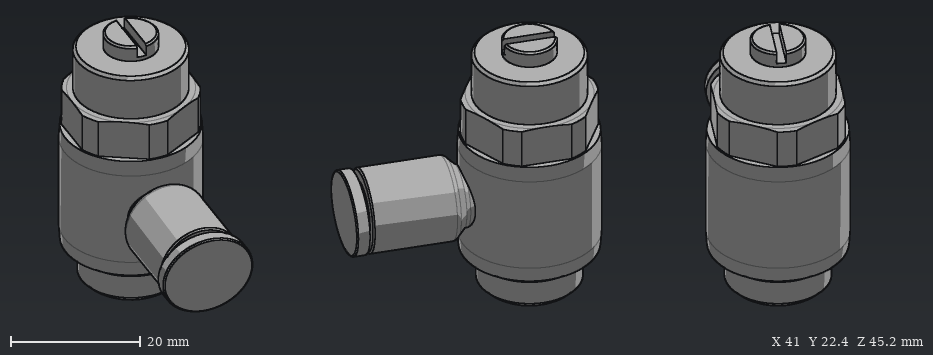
import cadquery as cq
import math

BODY_RADIUS = 11.2
BODY_END_RADIUS = 11.05
BODY_BOTTOM = 7.5
BODY_TOP = 28.48
BODY_TAPER_LENGTH = 2.55

FOOT_RADIUS = 8.3
FOOT_BEVEL_TOP = 5.5
FOOT_BEVEL_BOTTOM = 1.6
FOOT_BEVEL = 1.0
UNDERCUT_RADIUS = 7.3
UNDERCUT_BOTTOM = FOOT_BEVEL_TOP + FOOT_RADIUS - UNDERCUT_RADIUS
UNDERCUT_TOP = 7.0
UNDERCUT_TOP_FLARE = 0.25
LIP_RADIUS = 6.65
LIP_END_RADIUS = 6.5
LIP_HEIGHT = FOOT_BEVEL_BOTTOM - FOOT_BEVEL

HEX_ACROSS_FLATS = 20.0
HEX_CORNER_RADIUS = 10.75
HEX_TOP = 35.05
HEX_CHAMFER_HEIGHT = 0.23

HEAD_RADIUS = 9.0
HEAD_TOP = 42.6
HEAD_CHAMFER = 0.5

SCREW_RADIUS = 4.3
SCREW_TOP = 45.2
SCREW_CHAMFER = 0.3
SLOT_WIDTH = 1.5
SLOT_DEPTH = 1.95

BRANCH_HEIGHT = (BODY_BOTTOM + BODY_TOP) / 2
NECK_RADIUS = 4.95
SLEEVE_RADIUS = 6.8
SHOULDER_ANGLE = math.radians(45)
SHOULDER_START = 11.25
SHOULDER_END = SHOULDER_START + SLEEVE_RADIUS - NECK_RADIUS
SHOULDER_BLEND = 1.0
SLEEVE_END = 26.95
SLEEVE_CHAMFER = 0.25
STEM_RADIUS = 4.85
COLLAR_START = 27.7
COLLAR_END = 29.8
COLLAR_WIDTH = 15.15
COLLAR_HEIGHT = 13.0
COLLAR_CHAMFER = 0.23


def cylinder(radius, bottom, top):
    return cq.Workplane("XY").workplane(offset=bottom).circle(radius).extrude(top - bottom)


def foot_and_body():
    profile = [
        (0, 0),
        (LIP_END_RADIUS, 0),
        (LIP_RADIUS, LIP_HEIGHT),
        (FOOT_RADIUS - FOOT_BEVEL, LIP_HEIGHT),
        (FOOT_RADIUS, FOOT_BEVEL_BOTTOM),
        (FOOT_RADIUS, FOOT_BEVEL_TOP),
        (UNDERCUT_RADIUS, UNDERCUT_BOTTOM),
        (UNDERCUT_RADIUS, UNDERCUT_TOP),
        (UNDERCUT_RADIUS + UNDERCUT_TOP_FLARE, BODY_BOTTOM),
        (BODY_END_RADIUS, BODY_BOTTOM),
        (BODY_RADIUS, BODY_BOTTOM + BODY_TAPER_LENGTH),
        (BODY_RADIUS, BODY_TOP - BODY_TAPER_LENGTH),
        (BODY_END_RADIUS, BODY_TOP),
        (0, BODY_TOP),
    ]
    return cq.Workplane("XZ").polyline(profile).close().revolve(360, (0, 0), (0, 1))


def hexagon():
    across_corners = HEX_ACROSS_FLATS / math.cos(math.pi / 6)
    prism = (
        cq.Workplane("XY")
        .workplane(offset=BODY_TOP)
        .polygon(6, across_corners)
        .extrude(HEX_TOP - BODY_TOP)
    )
    blank = (
        cylinder(HEX_CORNER_RADIUS, BODY_TOP, HEX_TOP)
        .faces(">Z")
        .chamfer(HEX_CHAMFER_HEIGHT, HEX_CORNER_RADIUS - HEX_ACROSS_FLATS / 2)
    )
    return prism.intersect(blank)


def head():
    return cylinder(HEAD_RADIUS, HEX_TOP, HEAD_TOP).faces(">Z").chamfer(HEAD_CHAMFER)


def slotted_screw():
    screw = cylinder(SCREW_RADIUS, HEAD_TOP, SCREW_TOP).faces(">Z").chamfer(SCREW_CHAMFER)
    slot = (
        cq.Workplane("XY")
        .workplane(offset=SCREW_TOP - SLOT_DEPTH)
        .rect(2 * SCREW_RADIUS, SLOT_WIDTH)
        .extrude(SLOT_DEPTH)
    )
    return screw.cut(slot)


def branch():
    blend_along = SHOULDER_BLEND * math.tan(SHOULDER_ANGLE / 2)
    blend_diagonal = blend_along * math.sin(SHOULDER_ANGLE)
    section = (
        cq.Workplane("XZ", origin=(0, 0, BRANCH_HEIGHT))
        .moveTo(0, 0)
        .lineTo(0, NECK_RADIUS)
        .lineTo(SHOULDER_START - blend_along, NECK_RADIUS)
        .tangentArcPoint((SHOULDER_START + blend_diagonal, NECK_RADIUS + blend_diagonal), relative=False)
        .lineTo(SHOULDER_END - blend_diagonal, SLEEVE_RADIUS - blend_diagonal)
        .tangentArcPoint((SHOULDER_END + blend_along, SLEEVE_RADIUS), relative=False)
        .lineTo(SLEEVE_END - SLEEVE_CHAMFER, SLEEVE_RADIUS)
        .lineTo(SLEEVE_END, SLEEVE_RADIUS - SLEEVE_CHAMFER)
        .lineTo(SLEEVE_END, STEM_RADIUS)
        .lineTo(COLLAR_START, STEM_RADIUS)
        .lineTo(COLLAR_START, 0)
        .close()
    )
    return section.revolve(360, (0, 0), (1, 0))


def oval_collar():
    return (
        cq.Workplane("YZ", origin=(COLLAR_START, 0, BRANCH_HEIGHT))
        .ellipse(COLLAR_WIDTH / 2, COLLAR_HEIGHT / 2)
        .extrude(COLLAR_END - COLLAR_START)
        .faces(">X")
        .chamfer(COLLAR_CHAMFER)
    )


result = (
    foot_and_body()
    .union(hexagon())
    .union(head())
    .union(slotted_screw())
    .union(branch())
    .union(oval_collar())
)